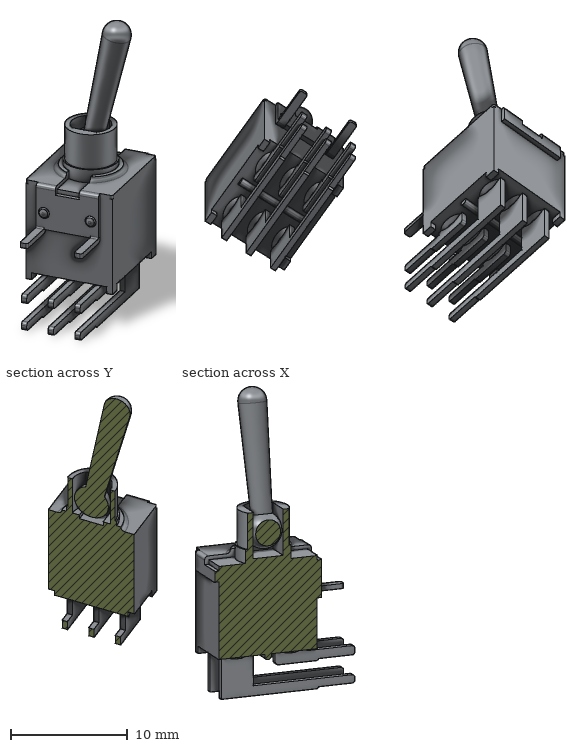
import cadquery as cq
import math


top_z = 14.18
bottom_z = top_z - 26.65
pin_end_y = -8.4

housing_width = 8.13
housing_depth = 9.11
housing_bottom_z = -9.3
foot_height = 0.65
floor_z = housing_bottom_z + foot_height
feet_gap_x = 7.0
feet_gap_y = 7.15
floor_rib_radius = 0.32
floor_rib_bottom_z = -9.15

plate_thickness = 0.35
plate_corner_radius = 0.2
flange_thickness = 0.4
flange_outer_y = housing_depth / 2 + flange_thickness
bend_radius = 0.35
inner_bend_radius = 0.13
front_flange_width = 5.84
back_flange_width = 6.37
back_flange_bottom_z = -1.75
bracket_pin_width = 0.75
bracket_pin_top_z = -4.1
bracket_pin_bottom_z = -4.55
lower_bend_radius = flange_thickness
front_flange_bottom_z = bracket_pin_bottom_z + lower_bend_radius
bracket_pin_tip_radius = 0.2
slot_width = 2.25
slot_bottom_z = -0.75

ring_radius = 2.8
ring_height = 0.4
ring_flare = 0.37

dimple_x = 2.19
dimple_z = -2.6
dimple_profile = [(0.5, 0), (0.4, 0.1), (0.1, 0.19)]

bushing_diameter = 4.5
bushing_top_z = 4.1
collar_diameter = 4.8
collar_top_z = 0.88
bore_radius = 1.79
bore_flat_gap = 2.75

lever_tilt = 12.3
pivot_z = 1.8
ball_radius = 1.63
ball_center_z = 2.13
lever_root_radius = 0.88
lever_tip_radius = 1.25
tip_center_z = top_z - lever_tip_radius
lever_length = (tip_center_z - pivot_z) / math.cos(math.radians(lever_tilt))

terminal_pitch = 2.5
terminal_thickness = 0.5
leg_inner_y = 1.0
leg_width = 2.95
leg_outer_y = leg_inner_y + leg_width
leg_center_y = leg_inner_y + leg_width / 2
shoulder_y = -4.9
shoulder_step = 0.15
terminal_tip_radius = 0.27
terminal_heel_radius = 0.32
upper_arm_top_z = -8.98
upper_arm_bottom_z = -9.97
lower_arm_top_z = -11.57

bead_height = 0.35
bead_top_radii = (0.7, 1.3)
bead_bottom_radii = (0.3, 0.72)


def box(x_range, y_range, z_range):
    """Box given by its limits along each axis."""
    size = [limits[1] - limits[0] for limits in (x_range, y_range, z_range)]
    corner = (x_range[0], y_range[0], z_range[0])
    return cq.Workplane("XY").box(*size, centered=False).translate(corner)


def centered_box(width, depth, z_range):
    """Box centred on the Z axis."""
    return box((-width / 2, width / 2), (-depth / 2, depth / 2), z_range)


def make_housing():
    """Block standing on four corner feet, with a round-nosed rib under the floor."""
    body = centered_box(housing_width, housing_depth, (housing_bottom_z, -plate_thickness))
    below_floor = (housing_bottom_z, floor_z)
    body = body.cut(centered_box(feet_gap_x, housing_depth, below_floor))
    body = body.cut(centered_box(housing_width, feet_gap_y, below_floor))
    rib_center_z = floor_rib_bottom_z + floor_rib_radius
    rib = (
        cq.Workplane("YZ", origin=(-feet_gap_x / 2, 0, 0))
        .moveTo(-floor_rib_radius, floor_z)
        .lineTo(-floor_rib_radius, rib_center_z)
        .threePointArc((0, floor_rib_bottom_z), (floor_rib_radius, rib_center_z))
        .lineTo(floor_rib_radius, floor_z)
        .close()
        .extrude(feet_gap_x)
    )
    return body.union(rib)


def make_front_flange():
    """Front flange whose lower corners bend outward into two mounting pins."""
    half_width = front_flange_width / 2
    inner_y = -housing_depth / 2
    x_range = (-half_width, half_width)
    flange = box(x_range, (-flange_outer_y, inner_y), (bracket_pin_bottom_z, 0))
    flange = flange.edges("|X and >Z and <Y").fillet(bend_radius)
    pins = box(x_range, (pin_end_y, -flange_outer_y), (bracket_pin_bottom_z, bracket_pin_top_z))
    flange = flange.union(pins)
    flange = flange.edges("|X and <Z and >Y").fillet(lower_bend_radius)
    bend_edge = cq.selectors.NearestToPointSelector((0, -flange_outer_y, bracket_pin_top_z))
    flange = flange.edges(bend_edge).fillet(inner_bend_radius)
    pin_inner_x = half_width - bracket_pin_width
    gap_x = (-pin_inner_x, pin_inner_x)
    pin_z = (bracket_pin_bottom_z, bracket_pin_top_z + inner_bend_radius)
    flange = flange.cut(box(gap_x, (pin_end_y, -flange_outer_y), pin_z))
    below_flange = (bracket_pin_bottom_z, front_flange_bottom_z)
    flange = flange.cut(box(gap_x, (-flange_outer_y, inner_y), below_flange))
    return flange.edges("|Z and <Y").fillet(bracket_pin_tip_radius)


def make_back_flange():
    """Short plain flange folded down over the back of the housing."""
    half_width = back_flange_width / 2
    flange = box(
        (-half_width, half_width),
        (housing_depth / 2, flange_outer_y),
        (back_flange_bottom_z, 0),
    )
    return flange.edges("|X and >Z and >Y").fillet(bend_radius)


def make_ring():
    """Raised ring around the bushing, flaring out onto the plate with a concave curve."""
    arc_offset = ring_flare * (1 - math.sqrt(0.5))
    return (
        cq.Workplane("XZ")
        .moveTo(0, -plate_thickness)
        .lineTo(ring_radius + ring_flare, -plate_thickness)
        .lineTo(ring_radius + ring_flare, 0)
        .threePointArc((ring_radius + arc_offset, arc_offset), (ring_radius, ring_flare))
        .lineTo(ring_radius, ring_height)
        .lineTo(0, ring_height)
        .close()
        .revolve(360, (0, 0, 0), (0, 1, 0))
    )


def make_dimple(x):
    """Shallow round dimple standing out of the front flange."""
    profile = [(0, 0)] + dimple_profile + [(0, dimple_profile[-1][1])]
    dimple = cq.Workplane("XZ").polyline(profile).close().revolve(360, (0, 0, 0), (0, 1, 0))
    return dimple.rotate((0, 0, 0), (1, 0, 0), 90).translate((x, -flange_outer_y, dimple_z))


def make_bracket():
    """Top plate with ring and flanges, split by a slot running front to back."""
    plate = centered_box(housing_width, housing_depth, (-plate_thickness, 0))
    plate = plate.edges("|Z").fillet(plate_corner_radius)
    bracket = plate.union(make_ring()).union(make_front_flange()).union(make_back_flange())
    bracket = bracket.cut(centered_box(slot_width, 2 * flange_outer_y, (slot_bottom_z, ring_height)))
    for x in (-dimple_x, dimple_x):
        bracket = bracket.union(make_dimple(x))
    return bracket


def make_bushing():
    """Round bushing with a wider collar and a bore flattened on two sides."""
    bushing = (
        cq.Workplane("XY", origin=(0, 0, -plate_thickness))
        .circle(collar_diameter / 2)
        .extrude(collar_top_z + plate_thickness)
        .faces(">Z")
        .workplane()
        .circle(bushing_diameter / 2)
        .extrude(bushing_top_z - collar_top_z)
    )
    bore = cq.Workplane("XY").circle(bore_radius).extrude(bushing_top_z)
    bore = bore.intersect(centered_box(2 * bore_radius, bore_flat_gap, (0, bushing_top_z)))
    return bushing.cut(bore)


def make_lever():
    """Tapered lever with a round tip, standing tilted in a ball inside the bushing."""
    shaft = (
        cq.Workplane("XZ")
        .lineTo(lever_root_radius, 0)
        .lineTo(lever_tip_radius, lever_length)
        .lineTo(0, lever_length)
        .close()
        .revolve(360, (0, 0, 0), (0, 1, 0))
    )
    tip = cq.Workplane("XY").sphere(lever_tip_radius).translate((0, 0, lever_length))
    lever = shaft.union(tip).rotate((0, 0, 0), (0, 1, 0), lever_tilt).translate((0, 0, pivot_z))
    ball = cq.Workplane("XY").sphere(ball_radius).translate((0, 0, ball_center_z))
    return lever.union(ball)


def make_terminal(x, inner_y, arm_top_z, arm_bottom_z, leg_y_range):
    """Flat terminal: a wide leg from the floor and a stepped arm running to the front."""
    start_x = x - terminal_thickness / 2
    pin_bottom_z = arm_bottom_z + shoulder_step
    arm_outline = [
        (inner_y, arm_top_z),
        (inner_y, arm_bottom_z),
        (shoulder_y, arm_bottom_z),
        (shoulder_y - shoulder_step, pin_bottom_z),
        (pin_end_y, pin_bottom_z),
        (pin_end_y, arm_top_z),
    ]
    arm = (
        cq.Workplane("YZ", origin=(start_x, 0, 0))
        .polyline(arm_outline)
        .close()
        .extrude(terminal_thickness)
    )
    arm = arm.edges("|X and <Y").fillet(terminal_tip_radius)
    leg = box((start_x, start_x + terminal_thickness), leg_y_range, (arm_bottom_z, floor_z))
    return leg.union(arm)


def make_front_terminal(x):
    """Upper terminal, with the heel of its leg rounded."""
    terminal = make_terminal(
        x, -leg_inner_y, upper_arm_top_z, upper_arm_bottom_z, (-leg_outer_y, -leg_inner_y)
    )
    return terminal.edges("|X and <Z and >Y").fillet(terminal_heel_radius)


def make_back_terminal(x):
    """Lower terminal, with a long leg at the back."""
    return make_terminal(x, leg_outer_y, lower_arm_top_z, bottom_z, (leg_inner_y, leg_outer_y))


def make_bead(x, y):
    """Tapered oval bead of sealant around a terminal leg."""
    return (
        cq.Workplane("XY", origin=(x, y, floor_z))
        .ellipse(*bead_top_radii)
        .workplane(offset=-bead_height)
        .ellipse(*bead_bottom_radii)
        .loft()
    )


result = make_housing().union(make_bracket()).union(make_bushing()).union(make_lever())
for terminal_x in (-terminal_pitch, 0, terminal_pitch):
    result = result.union(make_front_terminal(terminal_x))
    result = result.union(make_back_terminal(terminal_x))
    for bead_y in (-leg_center_y, leg_center_y):
        result = result.union(make_bead(terminal_x, bead_y))